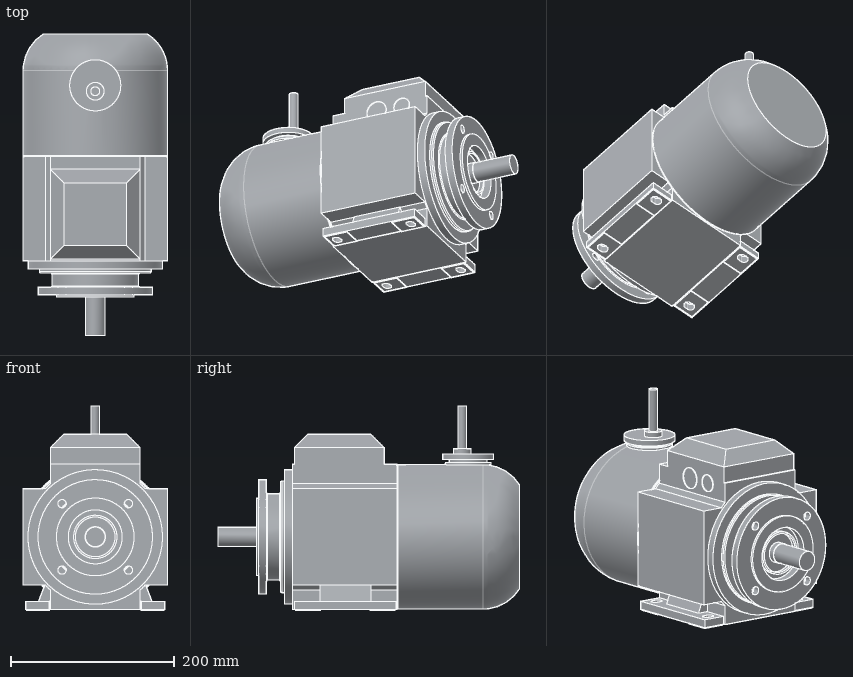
import cadquery as cq
import math

shaft_height = 90.0

shaft_diameter = 24.0
shaft_length = 50.0
shaft_collar_diameter = 25.0

flange_diameter = 140.0
flange_thickness = 9.5
spigot_diameter = 95.0
spigot_height = 3.0
bolt_circle_diameter = 115.0
bolt_hole_diameter = 10.0
bolt_count = 4
recess_diameter = 66.0
recess_floor_y = 8.0
seal_ring_diameter = 53.0
seal_ring_inner_diameter = 48.5
seal_ring_height = 5.0

neck_diameter = 106.0
neck_flare = 1.2
ring_diameter = 137.0
ring_front_y = 26.5
ring_chamfer_length = 2.0
ring_chamfer_height = 1.0
shield_diameter = 164.5
shield_front_y = 31.3

body_front_y = 41.3
body_back_y = 169.0
body_width = 177.0
body_block_height = 118.0
core_width = 110.0
core_height = 178.0
corner_leg = 6.0

hood_diameter = body_width
hood_gap = 1.2
hood_gap_diameter = 174.0
hood_back_y = 319.0
hood_round_start_y = 274.0
hood_end_diameter = 127.0

box_size = 110.0
box_front_y = 43.5
box_shoulder_z = 109.0
box_top_z = 125.6
box_bevel = box_top_z - box_shoulder_z
cable_entry_z = 82.4
cable_entry_depth = 1.0
cable_entries = [(76.0, 21.0), (110.0, 26.0)]

pad_height = 1.0
foot_outer_x = 85.2
foot_inner_x = 56.0
foot_thickness = 10.3
foot_front_y = box_front_y
foot_back_y = 168.0
pad_inset_x = 1.0
pad_inset_y = 1.3
pad_length = 30.7
foot_hole_x = 70.0
foot_hole_y = 56.0
foot_hole_spacing = 100.0
foot_hole_diameter = 10.0
foot_slot_length = 14.0
gusset_front_y = 75.0
gusset_back_y = 137.0
gusset_top_x = 61.9
gusset_bottom_x = 69.4

release_y = 256.0
plate_diameter = 56.0
plate_bottom_z = 88.0
plate_top_z = 91.0
stem_diameter = 46.5
disc_diameter = 62.5
disc_bottom_z = 94.4
disc_top_z = 101.3
lever_y = 248.8
lever_boss_diameter = 21.6
lever_boss_top_z = 107.8
lever_diameter = 10.8
lever_top_z = 160.0


def cylinder_y(diameter, y_start, y_end):
    """Cylinder on the shaft axis between two Y positions."""
    disc = cq.Workplane("XZ", origin=(0, y_start, 0)).circle(diameter / 2)
    return disc.extrude(y_start - y_end)


def cylinder_z(diameter, y, z_start, z_end):
    """Upright cylinder in the plane X = 0 between two Z positions."""
    disc = cq.Workplane("XY", origin=(0, y, z_start)).circle(diameter / 2)
    return disc.extrude(z_end - z_start)


def block(x_min, x_max, y_min, y_max, z_min, z_max):
    """Axis-aligned block between two corners."""
    size = (x_max - x_min, y_max - y_min, z_max - z_min)
    return cq.Workplane("XY").box(*size, centered=False).translate((x_min, y_min, z_min))


def prism_y(points, y_start, y_end):
    """Prism along Y from an outline of (X, Z) points."""
    outline = cq.Workplane("XZ", origin=(0, y_start, 0)).polyline(points).close()
    return outline.extrude(y_start - y_end)


def make_flange():
    """Bolted mounting flange with its centring spigot."""
    flange = cylinder_y(flange_diameter, 0, flange_thickness)
    holes = (
        cq.Workplane("XZ")
        .polarArray(bolt_circle_diameter / 2, 180 / bolt_count, 360, bolt_count)
        .circle(bolt_hole_diameter / 2)
        .extrude(-flange_thickness)
    )
    return flange.cut(holes).union(cylinder_y(spigot_diameter, -spigot_height, 0))


def make_end_shield():
    """Revolved neck, ring and shield between the flange and the stator body."""
    neck_radius = neck_diameter / 2
    flare_radius = neck_radius + neck_flare
    ring_radius = ring_diameter / 2
    shield_radius = shield_diameter / 2
    profile = [
        (0, flange_thickness),
        (flare_radius, flange_thickness),
        (neck_radius, flange_thickness + neck_flare),
        (neck_radius, ring_front_y - neck_flare),
        (flare_radius, ring_front_y),
        (ring_radius - ring_chamfer_height, ring_front_y),
        (ring_radius, ring_front_y + ring_chamfer_length),
        (ring_radius, shield_front_y),
        (shield_radius, shield_front_y),
        (shield_radius, body_front_y),
        (0, body_front_y),
    ]
    return cq.Workplane("XY").polyline(profile).close().revolve(360, (0, 0, 0), (0, 1, 0))


def make_recess():
    """Recess in the flange face that leaves a raised seal ring standing on its floor."""
    ring_face_y = recess_floor_y - seal_ring_height
    recess = cylinder_y(recess_diameter, -spigot_height, recess_floor_y)
    seal_ring = cylinder_y(seal_ring_diameter, ring_face_y, recess_floor_y)
    seal_ring = seal_ring.cut(cylinder_y(seal_ring_inner_diameter, ring_face_y, recess_floor_y))
    return recess.cut(seal_ring)


def make_shaft():
    """Output shaft with the slightly thicker collar behind its shoulder."""
    shaft = cylinder_y(shaft_diameter, -shaft_length, 0)
    return shaft.union(cylinder_y(shaft_collar_diameter, 0, body_front_y))


def make_body():
    """Stator body: a wide block crossed by a tall core."""
    half_width = body_width / 2
    half_block = body_block_height / 2
    half_core = core_width / 2
    half_height = core_height / 2
    body = block(-half_width, half_width, body_front_y, body_back_y, -half_block, half_block)
    core = block(-half_core, half_core, body_front_y, body_back_y, -half_height, half_height)
    strip_x = half_core + corner_leg
    strip_z = half_block + corner_leg
    strips = prism_y(
        [
            (strip_x, -half_block),
            (strip_x, half_block),
            (half_core, strip_z),
            (-half_core, strip_z),
            (-strip_x, half_block),
            (-strip_x, -half_block),
            (-half_core, -strip_z),
            (half_core, -strip_z),
        ],
        body_front_y,
        body_back_y,
    )
    return body.union(core).union(strips)


def make_hood():
    """Round brake hood, set off from the body by a narrow groove."""
    radius = hood_diameter / 2
    end_radius = hood_end_diameter / 2
    front_y = body_back_y + hood_gap
    round_depth = hood_back_y - hood_round_start_y
    radial_drop = radius - end_radius
    round_radius = (round_depth**2 + radial_drop**2) / (2 * radial_drop)
    half_angle = math.asin(round_depth / round_radius) / 2
    mid_point = (
        radius - round_radius * (1 - math.cos(half_angle)),
        hood_round_start_y + round_radius * math.sin(half_angle),
    )
    hood = (
        cq.Workplane("XY")
        .moveTo(0, front_y)
        .lineTo(radius, front_y)
        .lineTo(radius, hood_round_start_y)
        .threePointArc(mid_point, (end_radius, hood_back_y))
        .lineTo(0, hood_back_y)
        .close()
        .revolve(360, (0, 0, 0), (0, 1, 0))
    )
    return hood.union(cylinder_y(hood_gap_diameter, body_back_y, front_y))


def make_terminal_box():
    """Square terminal box with a bevelled lid."""
    half_size = box_size / 2
    box_back_y = box_front_y + box_size
    box = block(-half_size, half_size, box_front_y, box_back_y, 0, box_top_z)
    return box.faces(">Z").edges().chamfer(box_bevel)


def make_cable_entries():
    """Shallow round recesses in the -X side of the terminal box."""
    side_plane = cq.Workplane("YZ", origin=(-core_width / 2, 0, 0))
    recesses = cq.Workplane("XY")
    for entry_y, diameter in cable_entries:
        recess = side_plane.center(entry_y, cable_entry_z).circle(diameter / 2)
        recesses = recesses.union(recess.extrude(cable_entry_depth))
    return recesses


def make_foot():
    """Foot on the +X side, with its gusset, ground pads and slots."""
    foot_bottom_z = pad_height - shaft_height
    foot_top_z = foot_bottom_z + foot_thickness
    half_core = core_width / 2
    half_block = body_block_height / 2
    foot = block(foot_inner_x, foot_outer_x, foot_front_y, foot_back_y, foot_bottom_z, foot_top_z)
    gusset_outline = [
        (half_core, -half_block),
        (gusset_top_x, -half_block),
        (gusset_bottom_x, foot_top_z),
        (half_core, foot_top_z),
    ]
    foot = foot.union(prism_y(gusset_outline, gusset_front_y, gusset_back_y))
    pad_starts = (foot_front_y + pad_inset_y, foot_back_y - pad_inset_y - pad_length)
    for pad_y in pad_starts:
        pad = block(
            foot_inner_x,
            foot_outer_x - pad_inset_x,
            pad_y,
            pad_y + pad_length,
            -shaft_height,
            foot_bottom_z,
        )
        foot = foot.union(pad)
    for slot_y in (foot_hole_y, foot_hole_y + foot_hole_spacing):
        slot = (
            cq.Workplane("XY", origin=(foot_hole_x, slot_y, -shaft_height))
            .slot2D(foot_slot_length, foot_hole_diameter)
            .extrude(pad_height + foot_thickness)
        )
        foot = foot.cut(slot)
    return foot


def make_hand_release():
    """Stack of discs on top of the hood that carries the off-centre release lever."""
    release = cylinder_z(plate_diameter, release_y, plate_bottom_z, plate_top_z)
    release = release.union(cylinder_z(stem_diameter, release_y, plate_top_z, disc_bottom_z))
    release = release.union(cylinder_z(disc_diameter, release_y, disc_bottom_z, disc_top_z))
    release = release.union(cylinder_z(lever_boss_diameter, lever_y, disc_top_z, lever_boss_top_z))
    return release.union(cylinder_z(lever_diameter, lever_y, lever_boss_top_z, lever_top_z))


foot = make_foot()

motor = make_flange().union(make_end_shield()).cut(make_recess()).union(make_shaft())
motor = motor.union(make_body()).union(make_hood())
motor = motor.union(make_terminal_box()).cut(make_cable_entries())
motor = motor.union(foot).union(foot.mirror("YZ"))
result = motor.union(make_hand_release())